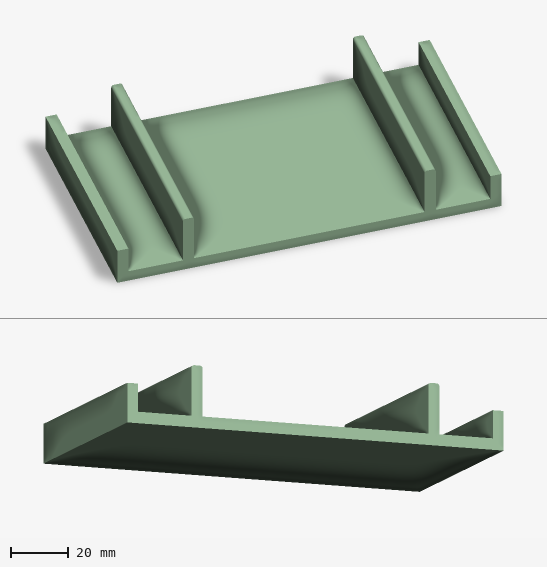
import cadquery as cq

width = 80.0
length = 140.0
rib_height = 22.0
wall_height = 14.0
thickness = 4.0
rib_inset = 24.0
rib_edge_radius = 1.0

wall_center = (length - thickness) / 2
rib_center = length / 2 - rib_inset - thickness / 2


def upright(y_center, height):
    """Full-width upright plate standing on the plane of the underside."""
    return (
        cq.Workplane("XY")
        .center(0, y_center)
        .box(width, thickness, height, centered=(True, True, False))
    )


def rib(y_center):
    """Tall inner rib with both long top edges rounded."""
    return upright(y_center, rib_height).faces(">Z").edges("|X").fillet(rib_edge_radius)


result = cq.Workplane("XY").box(width, length, thickness, centered=(True, True, False))

for side in (-1, 1):
    result = result.union(upright(side * wall_center, wall_height))
    result = result.union(rib(side * rib_center))

result = result.clean()